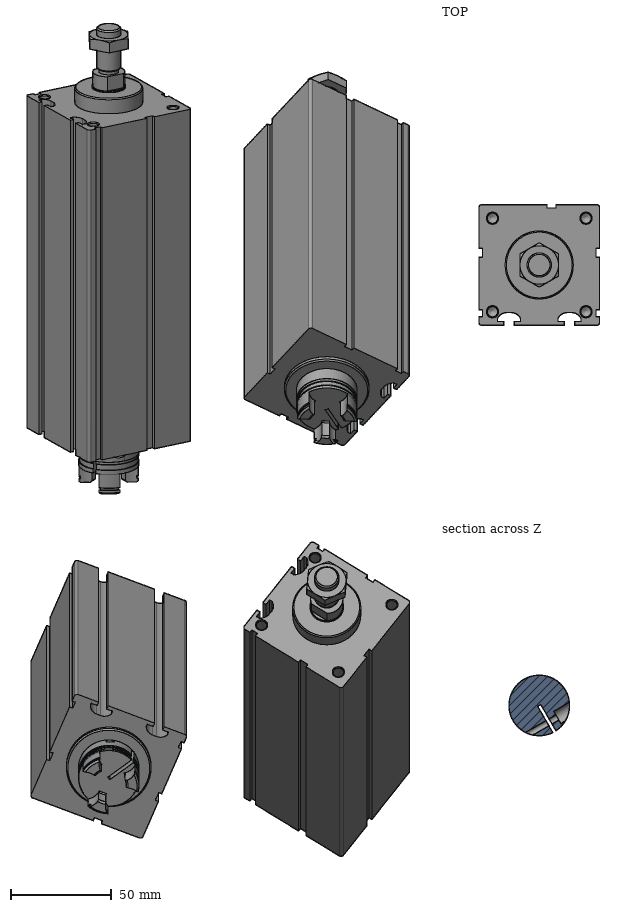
import cadquery as cq
import math


HOUSING_WIDTH = 60.0
HOUSING_HEIGHT = 175.5
HALF_WIDTH = HOUSING_WIDTH / 2
CORNER_RADIUS = 1.5

GROOVE_DEPTH = 1.7
WIDE_GROOVE_WIDTH = 4.4
WIDE_GROOVE_OFFSET = 6.0
NARROW_GROOVE_WIDTH = 3.5
NARROW_GROOVE_Y = -24.0

T_SLOT_X = 15.0
T_SLOT_OPENING = 5.0
T_SLOT_LIP = 2.0
T_SLOT_SIDE = 1.5
T_SLOT_DEPTH = 6.3
T_SLOT_WIDTH = 11.4
T_SLOT_ROOF_WIDTH = 2.2

HOLE_OFFSET = 23.2
HOLE_DIAMETER = 5.0
HOLE_MOUTH_DIAMETER = 6.0
HOLE_DEPTH = 12.0
DRILL_TIP_ANGLE = 118

COLLAR_DIAMETER = 33.9
COLLAR_HEIGHT = 8.0
COLLAR_CHAMFER = 0.6
WIPER_DIAMETER = 16.7
WIPER_HEIGHT = 0.7

ROD_DIAMETER = 16.0
ROD_FLATS_WIDTH = 12.8
NECK_DIAMETER = 10.0
THREAD_DIAMETER = 12.0
THREAD_CHAMFER = 0.7
COLLAR_TOP = HOUSING_HEIGHT + COLLAR_HEIGHT
WIPER_TOP = COLLAR_TOP + WIPER_HEIGHT
FLATS_LENGTH = 7.5
ROD_SHOULDER = WIPER_TOP + FLATS_LENGTH
NECK_LENGTH = 1.7
THREAD_LENGTH = 21.8
THREAD_BOTTOM = ROD_SHOULDER + NECK_LENGTH
ROD_TOP = THREAD_BOTTOM + THREAD_LENGTH

NUT_SIDES = 6
HEX_HALF_ANGLE = 180 / NUT_SIDES
NUT_ACROSS_FLATS = 19.0
NUT_HEIGHT = 5.8
NUT_SETBACK = 3.9
NUT_TOP = ROD_TOP - NUT_SETBACK
NUT_CHAMFER_ANGLE = 20

FLANGE_DIAMETER = 42.0
FLANGE_HEIGHT = 2.5
FLANGE_CHAMFER = 0.7

HUB_DIAMETER = 30.2
HUB_RADIUS = HUB_DIAMETER / 2
HUB_HEIGHT = 16.0
HUB_STEP_DIAMETER = 30.0
HUB_STEP_DEPTH = 9.5
HUB_GROOVE_DIAMETER = 29.0
HUB_GROOVE_WIDTH = 3.0
HUB_GROOVE_TOP = -11.0
HUB_GROOVE_BOTTOM = HUB_GROOVE_TOP - HUB_GROOVE_WIDTH

JAW_COUNT = 3
JAW_PITCH = 360 / JAW_COUNT
JAW_LENGTH = 10.6
JAW_TIP = -(HUB_HEIGHT + JAW_LENGTH)
JAW_INNER_RADIUS = 8.7
JAW_INNER_WIDTH = 3.9
JAW_OUTER_WIDTH = 10.6
JAW_FLANK_HOLLOW = 0.7
JAW_ROOT_FLARE = 0.7
JAW_TIP_CHAMFER = 1.0
JAW_GROOVE_DEPTH = 0.7
JAW_GROOVE_WIDTH = 1.2
JAW_TIP_BAND_HEIGHT = 2.2
JAW_GROOVE_BOTTOM = JAW_TIP + JAW_TIP_BAND_HEIGHT
JAW_GROOVE_TOP = JAW_GROOVE_BOTTOM + JAW_GROOVE_WIDTH

SLIT_ANGLE = 300
SLIT_WIDTH = 1.7
SCREW_RADIAL_OFFSET = 9.7
SCREW_Z = -3.9
SCREW_HOLE_DIAMETER = 3.0
SCREW_HEAD_DIAMETER = 7.0
SCREW_HEAD_SEAT = 4.8


def cylinder(diameter, bottom, top):
    return cq.Workplane("XY").workplane(offset=bottom).circle(diameter / 2).extrude(top - bottom)


def along_housing(profile):
    return profile.extrude(HOUSING_HEIGHT)


def groove_cutter(x, y, width_x, width_y):
    return along_housing(cq.Workplane("XY").center(x, y).rect(width_x, width_y))


def t_slot_cutter(x):
    lip_y = -HALF_WIDTH + T_SLOT_LIP
    side_y = lip_y + T_SLOT_SIDE
    roof_y = -HALF_WIDTH + T_SLOT_DEPTH
    half_opening = T_SLOT_OPENING / 2
    half_width = T_SLOT_WIDTH / 2
    half_roof = T_SLOT_ROOF_WIDTH / 2

    rise = roof_y - side_y
    run = half_width - half_roof
    radius = (run**2 + rise**2) / (2 * rise)
    half_sweep = math.atan2(rise, run)
    shoulder_x = half_roof + radius * math.sin(half_sweep)
    shoulder_y = roof_y - radius * (1 - math.cos(half_sweep))

    profile = (
        cq.Workplane("XY")
        .center(x, 0)
        .moveTo(-half_opening, -HALF_WIDTH)
        .lineTo(-half_opening, lip_y)
        .lineTo(-half_width, lip_y)
        .lineTo(-half_width, side_y)
        .threePointArc((-shoulder_x, shoulder_y), (-half_roof, roof_y))
        .lineTo(half_roof, roof_y)
        .threePointArc((shoulder_x, shoulder_y), (half_width, side_y))
        .lineTo(half_width, lip_y)
        .lineTo(half_opening, lip_y)
        .lineTo(half_opening, -HALF_WIDTH)
        .close()
    )
    return along_housing(profile)


def mounting_hole_cutter():
    radius = HOLE_DIAMETER / 2
    mouth_radius = HOLE_MOUTH_DIAMETER / 2
    mouth_depth = mouth_radius - radius
    tip_depth = radius / math.tan(math.radians(DRILL_TIP_ANGLE / 2))
    return (
        cq.Workplane("XZ")
        .polyline([
            (0, HOUSING_HEIGHT),
            (mouth_radius, HOUSING_HEIGHT),
            (radius, HOUSING_HEIGHT - mouth_depth),
            (radius, HOUSING_HEIGHT - HOLE_DEPTH),
            (0, HOUSING_HEIGHT - HOLE_DEPTH - tip_depth),
        ])
        .close()
        .revolve(360, (0, 0, 0), (0, 1, 0))
    )


def make_housing():
    housing = along_housing(cq.Workplane("XY").rect(HOUSING_WIDTH, HOUSING_WIDTH))
    housing = housing.edges("|Z").fillet(CORNER_RADIUS)
    for side in (-1, 1):
        side_x = side * HALF_WIDTH
        housing = housing.cut(
            groove_cutter(side_x, WIDE_GROOVE_OFFSET, 2 * GROOVE_DEPTH, WIDE_GROOVE_WIDTH)
        )
        housing = housing.cut(
            groove_cutter(side_x, NARROW_GROOVE_Y, 2 * GROOVE_DEPTH, NARROW_GROOVE_WIDTH)
        )
        housing = housing.cut(t_slot_cutter(side * T_SLOT_X))
    housing = housing.cut(
        groove_cutter(WIDE_GROOVE_OFFSET, HALF_WIDTH, WIDE_GROOVE_WIDTH, 2 * GROOVE_DEPTH)
    )
    for x in (-HOLE_OFFSET, HOLE_OFFSET):
        for y in (-HOLE_OFFSET, HOLE_OFFSET):
            housing = housing.cut(mounting_hole_cutter().translate((x, y, 0)))
    return housing


def make_collar():
    collar = cylinder(COLLAR_DIAMETER, HOUSING_HEIGHT, COLLAR_TOP)
    collar = collar.faces(">Z").edges().chamfer(COLLAR_CHAMFER)
    return collar.cut(cylinder(ROD_DIAMETER, HOUSING_HEIGHT, COLLAR_TOP))


def make_wiper_ring():
    ring = cylinder(WIPER_DIAMETER, COLLAR_TOP, WIPER_TOP)
    return ring.cut(cylinder(ROD_DIAMETER, COLLAR_TOP, WIPER_TOP))


def make_rod():
    guided = cylinder(ROD_DIAMETER, HOUSING_HEIGHT, WIPER_TOP)
    flatted = cylinder(ROD_DIAMETER, WIPER_TOP, ROD_SHOULDER).intersect(
        cq.Workplane("XY")
        .workplane(offset=WIPER_TOP)
        .rect(ROD_FLATS_WIDTH, ROD_DIAMETER)
        .extrude(FLATS_LENGTH)
    )
    neck = cylinder(NECK_DIAMETER, ROD_SHOULDER, THREAD_BOTTOM)
    thread = cylinder(THREAD_DIAMETER, THREAD_BOTTOM, ROD_TOP)
    thread = thread.faces("<Z or >Z").edges().chamfer(THREAD_CHAMFER)
    return guided.union(flatted).union(neck).union(thread)


def make_nut():
    corner_diameter = NUT_ACROSS_FLATS / math.cos(math.radians(HEX_HALF_ANGLE))
    bottom = NUT_TOP - NUT_HEIGHT
    hexagon = (
        cq.Workplane("XY")
        .workplane(offset=bottom)
        .polygon(NUT_SIDES, corner_diameter)
        .extrude(NUT_HEIGHT)
        .rotate((0, 0, 0), (0, 0, 1), HEX_HALF_ANGLE)
    )
    chamfer_width = (corner_diameter - NUT_ACROSS_FLATS) / 2
    chamfer_height = chamfer_width * math.tan(math.radians(NUT_CHAMFER_ANGLE))
    envelope = (
        cylinder(corner_diameter, bottom, NUT_TOP)
        .faces(">Z")
        .edges()
        .chamfer(chamfer_height, chamfer_width)
    )
    return hexagon.intersect(envelope).cut(cylinder(THREAD_DIAMETER, bottom, NUT_TOP))


def make_flange():
    flange = cylinder(FLANGE_DIAMETER, -FLANGE_HEIGHT, 0)
    flange = flange.faces("<Z").edges().chamfer(FLANGE_CHAMFER)
    return flange.cut(cylinder(HUB_DIAMETER, -FLANGE_HEIGHT, 0))


def jaw_profile_point(half_width, radius):
    return half_width, math.sqrt(radius**2 - half_width**2)


def make_jaw():
    """Jaw on the +Y side: a hollow-flanked wedge trimmed by a turned envelope."""
    outer_radius = HUB_STEP_DIAMETER / 2
    inner_x, inner_y = jaw_profile_point(JAW_INNER_WIDTH / 2, JAW_INNER_RADIUS)
    outer_x, outer_y = jaw_profile_point(JAW_OUTER_WIDTH / 2, outer_radius)
    flank_angle = math.atan2(outer_y - inner_y, outer_x - inner_x)
    middle_x = (inner_x + outer_x) / 2 - JAW_FLANK_HOLLOW * math.sin(flank_angle)
    middle_y = (inner_y + outer_y) / 2 + JAW_FLANK_HOLLOW * math.cos(flank_angle)
    root_y = JAW_INNER_RADIUS - JAW_ROOT_FLARE
    wedge = (
        cq.Workplane("XY")
        .workplane(offset=JAW_TIP)
        .moveTo(-inner_x, root_y)
        .lineTo(-inner_x, inner_y)
        .threePointArc((-middle_x, middle_y), (-outer_x, outer_y))
        .threePointArc((0, outer_radius), (outer_x, outer_y))
        .threePointArc((middle_x, middle_y), (inner_x, inner_y))
        .lineTo(inner_x, root_y)
        .close()
        .extrude(JAW_LENGTH)
    )
    groove_radius = outer_radius - JAW_GROOVE_DEPTH
    envelope = (
        cq.Workplane("XZ")
        .polyline([
            (JAW_INNER_RADIUS + JAW_TIP_CHAMFER, JAW_TIP),
            (outer_radius - JAW_TIP_CHAMFER, JAW_TIP),
            (outer_radius, JAW_TIP + JAW_TIP_CHAMFER),
            (outer_radius, JAW_GROOVE_BOTTOM),
            (groove_radius, JAW_GROOVE_BOTTOM),
            (groove_radius, JAW_GROOVE_TOP),
            (outer_radius, JAW_GROOVE_TOP),
            (outer_radius, -HUB_HEIGHT),
            (JAW_INNER_RADIUS - JAW_ROOT_FLARE, -HUB_HEIGHT),
            (JAW_INNER_RADIUS, -HUB_HEIGHT - JAW_ROOT_FLARE),
            (JAW_INNER_RADIUS, JAW_TIP + JAW_TIP_CHAMFER),
        ])
        .close()
        .revolve(360, (0, 0, 0), (0, 1, 0))
    )
    return wedge.intersect(envelope)


def clamp_cutter():
    """Radial slit with a clamp screw hole across it, built along +X and turned into place."""
    slit = (
        cq.Workplane("XY")
        .workplane(offset=-HUB_HEIGHT)
        .center(HUB_RADIUS / 2, 0)
        .rect(HUB_RADIUS, SLIT_WIDTH)
        .extrude(HUB_HEIGHT)
    )
    across_slit = cq.Workplane("XZ").center(SCREW_RADIAL_OFFSET, SCREW_Z)
    screw_hole = across_slit.circle(SCREW_HOLE_DIAMETER / 2).extrude(HUB_RADIUS, both=True)
    screw_head = (
        across_slit.workplane(offset=-HUB_RADIUS)
        .circle(SCREW_HEAD_DIAMETER / 2)
        .extrude(HUB_RADIUS - SCREW_HEAD_SEAT)
    )
    cutter = slit.union(screw_hole).union(screw_head)
    return cutter.rotate((0, 0, 0), (0, 0, 1), SLIT_ANGLE)


def make_coupling():
    coupling = (
        cylinder(HUB_DIAMETER, -HUB_STEP_DEPTH, 0)
        .union(cylinder(HUB_STEP_DIAMETER, HUB_GROOVE_TOP, -HUB_STEP_DEPTH))
        .union(cylinder(HUB_GROOVE_DIAMETER, HUB_GROOVE_BOTTOM, HUB_GROOVE_TOP))
        .union(cylinder(HUB_STEP_DIAMETER, -HUB_HEIGHT, HUB_GROOVE_BOTTOM))
        .cut(clamp_cutter())
    )
    for index in range(JAW_COUNT):
        coupling = coupling.union(make_jaw().rotate((0, 0, 0), (0, 0, 1), index * JAW_PITCH))
    return coupling


housing = make_housing()
collar = make_collar()
wiper_ring = make_wiper_ring()
rod = make_rod()
nut = make_nut()
flange = make_flange()
coupling = make_coupling()

result = cq.Compound.makeCompound([
    housing.val(),
    collar.val(),
    wiper_ring.val(),
    rod.val(),
    nut.val(),
    flange.val(),
    coupling.val(),
])